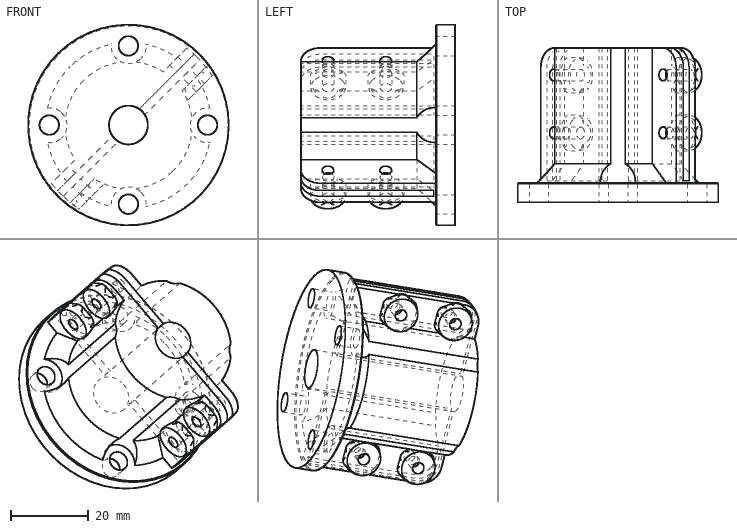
import cadquery as cq
import math

flange_radius = 26.0
flange_thickness = 5.0
flange_edge_chamfer = 0.25
overall_length = 40.0

body_radius = 16.5
collar_height = 5.0
collar_radius = body_radius + collar_height
bore_diameter = 10.0

mount_hole_diameter = 5.0
mount_circle_radius = 20.5
mount_hole_count = 4
head_groove_radius = 4.5

wing_reach = 25.0
wing_thickness = 6.95
wing_corner_radius = 5.0
wing_tilt = -45.0
slot_width = 2.1
slot_floor = flange_thickness + 0.55

screw_hole_diameter = 3.0
screw_reach = 20.0
screw_end_margin = 7.0
screw_pitch = 15.0
last_screw = overall_length - screw_end_margin
screw_points = [
    (side * screw_reach, last_screw - row * screw_pitch)
    for side in (-1, 1)
    for row in (0, 1)
]

boss_flat_width = 9.25
boss_corner_diameter = boss_flat_width / math.cos(math.pi / 6)
boss_base_radius = 5.0
boss_rim_radius = 4.45
boss_rim_height = 0.5
boss_height = 2.75


def rod(radius, start, end):
    """Solid cylinder along +Y between two stations."""
    plane = cq.Workplane("XZ", origin=(0, start, 0))
    return plane.circle(radius).extrude(start - end)


def make_flange():
    disc = rod(flange_radius, 0, flange_thickness)
    return disc.faces(">Y").edges().chamfer(flange_edge_chamfer)


def make_body():
    """Round body with a conical collar on the flange."""
    collar_end = flange_thickness + collar_height
    profile = [
        (0, 0),
        (collar_radius, 0),
        (collar_radius, flange_thickness),
        (body_radius, collar_end),
        (body_radius, overall_length),
        (0, overall_length),
    ]
    return cq.Workplane("XY").polyline(profile).close().revolve(360, (0, 0, 0), (0, 1, 0))


def make_wings():
    """Wing plate with rounded ends, lying in the XY plane before it is tilted."""
    plate = cq.Workplane("XY").box(
        2 * wing_reach, overall_length, wing_thickness, centered=(True, False, True)
    )
    plate = plate.intersect(rod(wing_reach, 0, overall_length))
    return plate.faces(">Y").edges("%CIRCLE").fillet(wing_corner_radius)


def make_boss():
    """One boss standing on the XY plane and pointing down."""
    taper_end = boss_rim_height - boss_height
    profile = [
        (0, 0),
        (boss_base_radius, 0),
        (boss_rim_radius, taper_end),
        (boss_rim_radius, -boss_height),
        (0, -boss_height),
    ]
    round_boss = cq.Workplane("XZ").polyline(profile).close().revolve(360, (0, 0, 0), (0, 1, 0))
    flats = cq.Workplane("XY").polygon(6, boss_corner_diameter).extrude(-boss_height)
    return round_boss.intersect(flats)


def make_clamp():
    """Wings with a boss under each screw, before they are tilted."""
    clamp = make_wings()
    boss = make_boss()
    for x, y in screw_points:
        clamp = clamp.union(boss.translate((x, y, -wing_thickness / 2)))
    return clamp


def make_slot():
    """Slot that splits the body and both wings, before it is tilted."""
    slot = cq.Workplane("XY").box(
        2 * wing_reach, overall_length - slot_floor, slot_width, centered=(True, False, True)
    )
    return slot.translate((0, slot_floor, 0))


def make_screw_holes():
    holes = cq.Workplane("XY").pushPoints(screw_points).circle(screw_hole_diameter / 2)
    return holes.extrude(wing_thickness / 2 + boss_height, both=True)


def tilt(shape):
    return shape.rotate((0, 0, 0), (0, 1, 0), wing_tilt)


def around_mount_circle(shape):
    """Copies of a shape on the mounting circle, as one workplane."""
    first = shape.translate((mount_circle_radius, 0, 0))
    copies = first
    step = 360 / mount_hole_count
    for i in range(1, mount_hole_count):
        copies = copies.union(first.rotate((0, 0, 0), (0, 1, 0), i * step))
    return copies


head_grooves = around_mount_circle(rod(head_groove_radius, flange_thickness, overall_length))
mount_holes = around_mount_circle(rod(mount_hole_diameter / 2, 0, flange_thickness))

result = (
    make_flange()
    .union(make_body().cut(head_grooves))
    .union(tilt(make_clamp()))
    .cut(mount_holes)
    .cut(rod(bore_diameter / 2, 0, overall_length))
    .cut(tilt(make_slot()))
    .cut(tilt(make_screw_holes()))
)